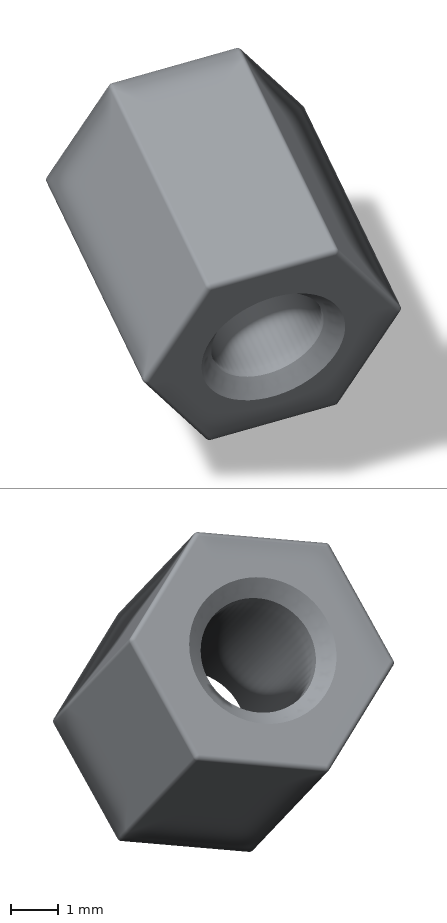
import cadquery as cq

length = 6.0
across_flats = 5.0
edge_radius = 0.1
quarter_turn = 90

hole_diameter = 2.5
countersink_diameter = 3.2
countersink_angle = 90


def hexagonal_body():
    """Hexagonal prism centred on the origin, flats facing up and down, all edges rounded."""
    prism = (
        cq.Workplane("YZ")
        .polygon(6, across_flats, circumscribed=True)
        .extrude(length / 2, both=True)
        .rotate((0, 0, 0), (1, 0, 0), quarter_turn)
    )
    return prism.edges().fillet(edge_radius)


def cut_countersunk_hole(body, end_face):
    """Cut a through hole that is countersunk at the chosen end face."""
    return (
        body.faces(end_face)
        .workplane(centerOption="CenterOfMass")
        .cskHole(hole_diameter, countersink_diameter, countersink_angle)
    )


result = hexagonal_body()
for end_face in ("<X", ">X"):
    result = cut_countersunk_hole(result, end_face)